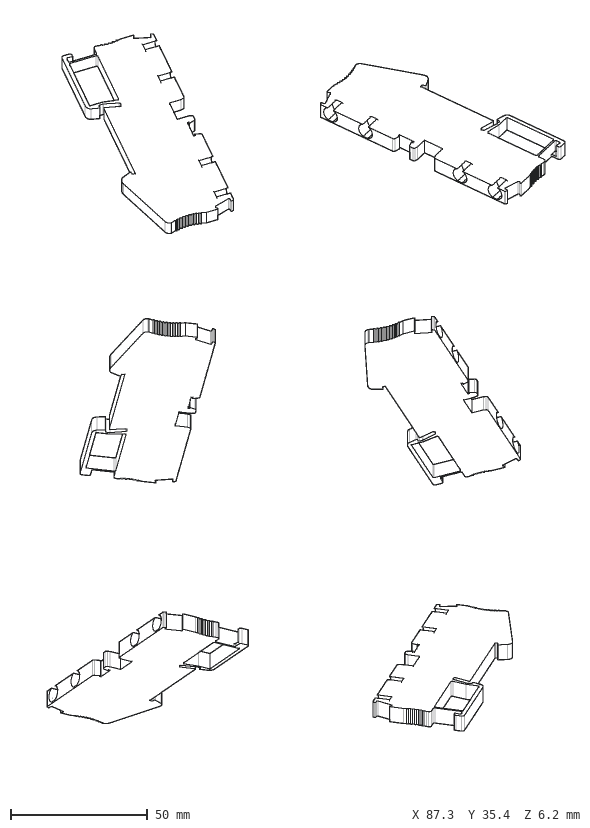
import cadquery as cq
import math

length = 87.3
width = 35.4
thickness = 6.2

body_bottom = 12.6
rail_face = 5.9

snap_top_inset = 2.2
snap_lip_inset = 1.6
snap_lip_y = 34.2
snap_root_inset = 3.3
snap_root_y = 34.05
snap_heel_inset = 1.4
snap_heel_y = 27.6
snap_shoulder_y = 28.6

notch_left = 34.5
notch_right = 42.6
notch_floor = 29.3
notch_flare = 0.4
notch_flare_y = 33.9
notch_rounding = 0.7

clip_left = 45.4
clip_right = 51.9
clip_floor = 32.2
clip_lip_y = 32.8
clip_lip = 0.6
clip_top_inset = 0.2
clip_rounding = 0.7

wall_outer = 3.6
wall_inner = 4.3
window_floor = 1.6
window_right_bottom = 25.4
window_right_top = 26.5
window_bend_y = 6.55
hook_left = 1.4
hook_top = 3.9
pocket_slant = 0.3
pocket_floor_z = 1.05
root_radius = 0.5
foot_right_bottom = 26.5
foot_toe_x = 27.8
foot_toe_y = 4.8
foot_heel_rounding = 2.1
frame_rounding = 0.9
slit_left_x = 26.4
slit_left_top = 28.1
slit_right_top = 29.8
slit_right_bottom = 28.0
slit_top = 12.5
slit_rounding = 0.7

claw_root_x = 61.0
claw_tip_x = 59.6
claw_tip_y = 4.6
claw_bottom_x = 61.55
slope_start_x = 63.55
slope_end_y = 8.6
claw_lead = 0.3
claw_rounding = 1.9
slope_start_rounding = 3.5

slot_insets = (6.7, 22.4)
slot_length = 5.5
slot_radius = 3.05
slot_axis_depth = 2.8
slot_depth = 5.7

rib_radius = 0.305
left_grip_center = 18.6
left_grip_chord = 8.9
left_grip_sag = 0.6
left_rib_pitch = 1.5
left_rib_count = 5
right_grip_center = 17.0
right_grip_chord = 13.5
right_grip_sag = 1.2
right_rib_pitch = 1.2
right_rib_count = 9

corner = 0.35
tip_radius = 0.3


def rounded_profile(corners):
    """Closed outline through (x, y, radius) corners, each rounded by a tangent arc."""
    arcs = []
    for i, (x, y, radius) in enumerate(corners):
        before = cq.Vector(*corners[i - 1][:2])
        after = cq.Vector(*corners[(i + 1) % len(corners)][:2])
        here = cq.Vector(x, y)
        to_before = (before - here).normalized()
        to_after = (after - here).normalized()
        half_angle = to_before.getAngle(to_after) / 2
        setback = radius / math.tan(half_angle)
        to_center = (to_before + to_after).normalized()
        nearest = radius / math.sin(half_angle) - radius
        start = here + to_before * setback
        middle = here + to_center * nearest
        end = here + to_after * setback
        arcs.append((start.toTuple()[:2], middle.toTuple()[:2], end.toTuple()[:2], radius))

    profile = cq.Workplane("XY").moveTo(*arcs[0][2])
    for start, middle, end, radius in arcs[1:] + arcs[:1]:
        profile = profile.lineTo(*start)
        if radius > 0:
            profile = profile.threePointArc(middle, end)
    return profile.close()


def snap_corners():
    """Corners of the left snap recess, from the end face up to the upper edge."""
    return [
        (0, snap_shoulder_y, tip_radius),
        (snap_heel_inset, snap_heel_y, corner),
        (snap_root_inset, snap_root_y, corner),
        (snap_lip_inset, snap_lip_y, tip_radius),
        (snap_top_inset, width, corner),
    ]


def housing():
    left_snap = snap_corners()
    right_snap = [(length - x, y, r) for x, y, r in reversed(left_snap)]
    deep_notch = [
        (notch_left - notch_flare, width, notch_rounding),
        (notch_left, notch_flare_y, 0),
        (notch_left, notch_floor, 0),
        (notch_right, notch_floor, 0),
        (notch_right, notch_flare_y, 0),
        (notch_right + notch_flare, width, notch_rounding),
    ]
    clip_notch = [
        (clip_left - clip_top_inset, width, clip_rounding),
        (clip_left + clip_lip, clip_lip_y, 0),
        (clip_left, clip_lip_y, 0),
        (clip_left, clip_floor, 0),
        (clip_right, clip_floor, 0),
        (clip_right, clip_lip_y, 0),
        (clip_right - clip_lip, clip_lip_y, 0),
        (clip_right + clip_top_inset, width, clip_rounding),
    ]
    lower_right = [
        (length, slope_end_y, claw_rounding),
        (slope_start_x, 0, slope_start_rounding),
        (claw_bottom_x, 0, claw_rounding),
        (claw_tip_x, claw_tip_y, corner),
        (claw_root_x, claw_tip_y + claw_lead, corner),
        (claw_root_x, rail_face, 0),
    ]
    slit = [
        (slit_right_bottom, rail_face, corner),
        (slit_right_top, slit_top, slit_rounding),
        (slit_left_top, slit_top, slit_rounding),
        (slit_left_x, window_bend_y, corner),
        (slit_left_x, foot_toe_y, corner),
    ]
    foot = [
        (foot_toe_x, foot_toe_y, tip_radius),
        (foot_right_bottom, 0, foot_heel_rounding),
        (0, 0, frame_rounding),
        (0, hook_top, frame_rounding),
        (wall_outer, hook_top, root_radius),
        (wall_outer, body_bottom, root_radius),
        (0, body_bottom, frame_rounding),
    ]
    outline = left_snap + deep_notch + clip_notch + right_snap + lower_right + slit + foot
    return rounded_profile(outline).extrude(thickness)


def window():
    return rounded_profile([
        (wall_inner, window_floor, tip_radius),
        (window_right_bottom, window_floor, 0),
        (window_right_bottom, window_bend_y, 0),
        (window_right_top, body_bottom, root_radius),
        (wall_inner, body_bottom, root_radius),
    ]).extrude(thickness)


def hook_pocket():
    return rounded_profile([
        (hook_left, window_floor, corner),
        (wall_outer, window_floor, corner),
        (wall_outer, hook_top + root_radius, 0),
        (hook_left + pocket_slant, hook_top + root_radius, 0),
    ]).extrude(thickness - pocket_floor_z).translate((0, 0, pocket_floor_z))


def marker_slot(center_x):
    bore = cq.Workplane("XZ").circle(slot_radius).extrude(slot_length)
    bore = bore.translate((center_x, width, thickness - slot_axis_depth))
    above_floor = cq.Workplane("XY").box(length, width, slot_depth, centered=False)
    return bore.intersect(above_floor.translate((0, 0, thickness - slot_depth)))


def ribbed_grip(body, end_x, inward, center_y, chord, sag, pitch, count):
    """Hollow an end face with a shallow arc and set small round ribs along the arc."""
    radius = (chord ** 2 / 4 + sag ** 2) / (2 * sag)
    axis_x = end_x + inward * (sag - radius)
    body = body.cut(cq.Workplane("XY").center(axis_x, center_y).circle(radius).extrude(thickness))
    for i in range(count):
        angle = (i - (count - 1) / 2) * pitch / radius
        x = axis_x + inward * radius * math.cos(angle)
        y = center_y + radius * math.sin(angle)
        body = body.union(cq.Workplane("XY").center(x, y).circle(rib_radius).extrude(thickness))
    return body


result = housing().cut(window()).cut(hook_pocket())
for inset in slot_insets:
    result = result.cut(marker_slot(inset)).cut(marker_slot(length - inset))
result = ribbed_grip(result, 0, 1, left_grip_center, left_grip_chord, left_grip_sag,
                     left_rib_pitch, left_rib_count)
result = ribbed_grip(result, length, -1, right_grip_center, right_grip_chord, right_grip_sag,
                     right_rib_pitch, right_rib_count)